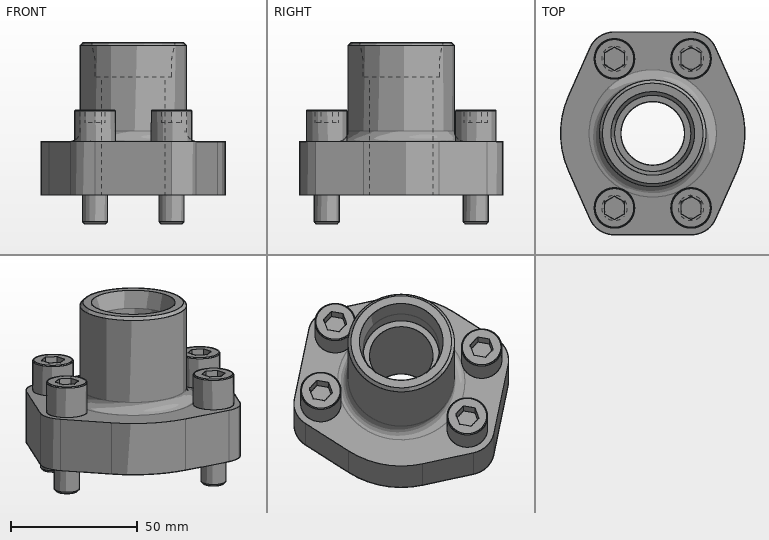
import cadquery as cq
import math

flange_length = 80.0
flange_width = 72.7
flange_thickness = 21.1
side_radius = flange_width / 2

bolt_spacing_x = 30.2
bolt_spacing_y = 58.7
head_diameter = 16.0
head_height = 12.5
head_chamfer = 0.4
hex_across_flats = 8.0
hex_depth = 5.0
shank_diameter = 10.0
shank_protrusion = 11.4
shank_chamfer = 1.0

neck_diameter = 42.0
neck_height = 39.0
neck_chamfer = 1.2
neck_root_radius = 4.1
bore_diameter = 25.0
socket_diameter = 30.0
socket_depth = 13.6
cone_mouth_diameter = 33.0
cone_half_angle = math.radians(12)

bolt_x = bolt_spacing_x / 2
bolt_y = bolt_spacing_y / 2
corner_radius = flange_length / 2 - bolt_y
neck_top = flange_thickness + neck_height


def make_flange():
    """Plate whose side arcs and corner arcs are joined by common tangent lines."""
    tangent_angle = math.atan2(bolt_y, bolt_x) - math.acos(
        (side_radius - corner_radius) / math.hypot(bolt_x, bolt_y)
    )
    corner_mid_angle = (tangent_angle + math.pi / 2) / 2

    def corner_point(angle):
        x = bolt_x + corner_radius * math.cos(angle)
        y = bolt_y + corner_radius * math.sin(angle)
        return x, y

    side_x = side_radius * math.cos(tangent_angle)
    side_y = side_radius * math.sin(tangent_angle)
    corner_x, corner_y = corner_point(tangent_angle)
    mid_x, mid_y = corner_point(corner_mid_angle)
    flat_y = flange_length / 2

    return (
        cq.Workplane("XY")
        .moveTo(side_x, -side_y)
        .threePointArc((side_radius, 0), (side_x, side_y))
        .lineTo(corner_x, corner_y)
        .threePointArc((mid_x, mid_y), (bolt_x, flat_y))
        .lineTo(-bolt_x, flat_y)
        .threePointArc((-mid_x, mid_y), (-corner_x, corner_y))
        .lineTo(-side_x, side_y)
        .threePointArc((-side_radius, 0), (-side_x, -side_y))
        .lineTo(-corner_x, -corner_y)
        .threePointArc((-mid_x, -mid_y), (-bolt_x, -flat_y))
        .lineTo(bolt_x, -flat_y)
        .threePointArc((mid_x, -mid_y), (corner_x, -corner_y))
        .close()
        .extrude(flange_thickness)
    )


def make_neck():
    """Solid of revolution with a chamfered rim and a concave root fillet."""
    radius = neck_diameter / 2
    root_edge = radius + neck_root_radius
    root_top = flange_thickness + neck_root_radius
    arc_sag = neck_root_radius * math.sqrt(0.5)
    return (
        cq.Workplane("XZ")
        .lineTo(root_edge, 0)
        .lineTo(root_edge, flange_thickness)
        .threePointArc((root_edge - arc_sag, root_top - arc_sag), (radius, root_top))
        .lineTo(radius, neck_top - neck_chamfer)
        .lineTo(radius - neck_chamfer, neck_top)
        .lineTo(0, neck_top)
        .close()
        .revolve()
    )


def make_bore():
    """Through bore, wider socket and conical mouth, as one cutting body."""
    socket_radius = socket_diameter / 2
    mouth_radius = cone_mouth_diameter / 2
    cone_depth = (mouth_radius - socket_radius) / math.tan(cone_half_angle)
    return (
        cq.Workplane("XZ")
        .lineTo(bore_diameter / 2, 0)
        .lineTo(bore_diameter / 2, neck_top - socket_depth)
        .lineTo(socket_radius, neck_top - socket_depth)
        .lineTo(socket_radius, neck_top - cone_depth)
        .lineTo(mouth_radius, neck_top)
        .lineTo(0, neck_top)
        .close()
        .revolve()
    )


def make_bolt():
    """Socket-head bolt on the Z axis, seated on the flange top."""
    head_top = flange_thickness + head_height
    head_radius = head_diameter / 2
    shank_radius = shank_diameter / 2
    body = (
        cq.Workplane("XZ")
        .moveTo(0, -shank_protrusion)
        .lineTo(shank_radius - shank_chamfer, -shank_protrusion)
        .lineTo(shank_radius, shank_chamfer - shank_protrusion)
        .lineTo(shank_radius, flange_thickness)
        .lineTo(head_radius, flange_thickness)
        .lineTo(head_radius, head_top - head_chamfer)
        .lineTo(head_radius - head_chamfer, head_top)
        .lineTo(0, head_top)
        .close()
        .revolve()
    )
    across_corners = hex_across_flats / math.cos(math.pi / 6)
    socket = (
        cq.Workplane("XY", origin=(0, 0, head_top - hex_depth))
        .transformed(rotate=(0, 0, 90))
        .polygon(6, across_corners)
        .extrude(hex_depth)
    )
    return body.cut(socket)


result = make_flange().union(make_neck()).cut(make_bore())
bolt = make_bolt()
for x in (-bolt_x, bolt_x):
    for y in (-bolt_y, bolt_y):
        result = result.union(bolt.translate((x, y, 0)))